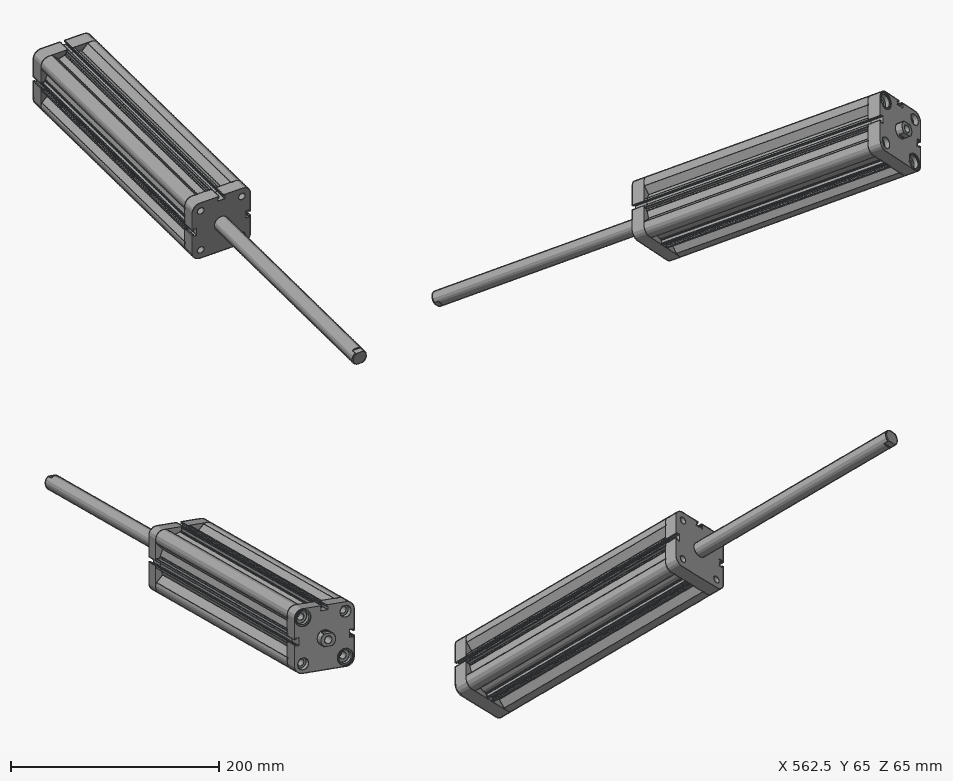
import cadquery as cq
import math

total_length = 562.5
rod_overhang = 8.0
left_cap_length = 14.5
right_cap_length = 14.0
housing_length = 296.5
profile_length = housing_length - left_cap_length - right_cap_length

rod_left_end = -total_length / 2
rod_right_end = total_length / 2
left_cap_start = rod_left_end + rod_overhang
profile_start = left_cap_start + left_cap_length
right_cap_start = profile_start + profile_length

section_width = 65.0
half_width = section_width / 2
corner_radius = 9.0
corner_center = half_width - corner_radius

slot_mouth_width = 5.0
slot_inner_width = 8.0
slot_lip_thickness = 1.5
slot_depth = 5.0

barrel_radius = 28.0
lobe_edge = 19.5
lobe_edge_height = corner_center + math.sqrt(corner_radius**2 - (corner_center - lobe_edge) ** 2)
valley_edge = 13.0
valley_height = math.sqrt(barrel_radius**2 - valley_edge**2)
rail_foot_width = 12.5
rail_foot_height = barrel_radius
rail_neck_width = 9.0

hole_offset = 23.0
hole_diameter = 7.5
bore_diameter = 12.0
bore_depth = 5.5
large_bore_diameter = 13.5
recess_diameter = 17.0
recess_depth = 1.0

rod_diameter = 16.0
rod_radius = rod_diameter / 2
rod_chamfer_length = 1.0
rod_chamfer_depth = 0.5
across_flats = 13.0
left_flat_length = 5.5
right_flat_length = 6.0
rod_hole_diameter = 8.0
rod_hole_depth = 17.0
drill_point_angle = 118.0


def x_cylinder(diameter, start, length, y=0.0, z=0.0):
    """Cylinder along X that begins at the given start."""
    return cq.Workplane("YZ", origin=(start, y, z)).circle(diameter / 2).extrude(length)


def turned(body, quarter_turns):
    """Copy of a body turned about the X axis."""
    return body.rotate((0, 0, 0), (1, 0, 0), 90 * quarter_turns)


def rounded_block(start, length):
    """Square block with rounded long edges."""
    block = cq.Workplane("YZ", origin=(start, 0, 0)).rect(section_width, section_width).extrude(length)
    return block.edges("|X").fillet(corner_radius)


def t_slot(start, length):
    """Cutter for the T-slot in the top (+Z) side."""
    mouth = slot_mouth_width / 2
    inner = slot_inner_width / 2
    lip = half_width - slot_lip_thickness
    floor = half_width - slot_depth
    points = [
        (-mouth, half_width),
        (-mouth, lip),
        (-inner, lip),
        (-inner, floor),
        (inner, floor),
        (inner, lip),
        (mouth, lip),
        (mouth, half_width),
    ]
    return cq.Workplane("YZ", origin=(start, 0, 0)).polyline(points).close().extrude(length)


def hole_centers():
    return [(y * hole_offset, z * hole_offset) for y in (-1, 1) for z in (-1, 1)]


def cut_through_holes(body, start, length):
    """Cut the four corner holes and the rod hole right through a body."""
    for y, z in hole_centers():
        body = body.cut(x_cylinder(hole_diameter, start, length, y, z))
    return body.cut(x_cylinder(rod_diameter, start, length))


def make_cap(start, length):
    """Rounded square plate with T-slots on all sides but the bottom."""
    cap = rounded_block(start, length)
    for quarter_turns in (-1, 0, 1):
        cap = cap.cut(turned(t_slot(start, length), quarter_turns))
    return cut_through_holes(cap, start, length)


def make_left_cap():
    """Cap with a bore at each outer hole mouth; two opposite ones are larger and recessed."""
    cap = make_cap(left_cap_start, left_cap_length)
    for y, z in hole_centers():
        on_rising_diagonal = y * z > 0
        diameter = large_bore_diameter if on_rising_diagonal else bore_diameter
        cap = cap.cut(x_cylinder(diameter, left_cap_start, bore_depth, y, z))
        if on_rising_diagonal:
            cap = cap.cut(x_cylinder(recess_diameter, left_cap_start, recess_depth, y, z))
    return cap


def make_lobe():
    """Corner lobe: a rounded nose with sloped flanks that run down to the barrel."""
    nose_tip = corner_center + corner_radius / math.sqrt(2)
    return (
        cq.Workplane("YZ", origin=(profile_start, 0, 0))
        .lineTo(valley_edge, valley_height)
        .lineTo(lobe_edge, lobe_edge_height)
        .threePointArc((nose_tip, nose_tip), (lobe_edge_height, lobe_edge))
        .lineTo(valley_height, valley_edge)
        .close()
        .extrude(profile_length)
    )


def upright_bar(width, height):
    """Bar along the profile that stands on the rod axis and reaches up to the given height."""
    return (
        cq.Workplane("YZ", origin=(profile_start, 0, 0))
        .center(0, height / 2)
        .rect(width, height)
        .extrude(profile_length)
    )


def make_rail():
    """Rail that carries the top T-slot: a narrow neck on a wider foot."""
    foot = upright_bar(rail_foot_width, rail_foot_height)
    neck = upright_bar(rail_neck_width, half_width)
    return foot.union(neck)


def make_profile():
    """Barrel with four lobes and four slotted rails."""
    body = x_cylinder(2 * barrel_radius, profile_start, profile_length)
    lobe = make_lobe()
    rail = make_rail()
    slot = t_slot(profile_start, profile_length)
    for quarter_turns in range(4):
        body = body.union(turned(lobe, quarter_turns)).union(turned(rail, quarter_turns))
    for quarter_turns in range(4):
        body = body.cut(turned(slot, quarter_turns))
    return cut_through_holes(body, profile_start, profile_length)


def flat_cutter(start, length, side):
    """Block that cuts one flat on the upper (+1) or lower (-1) side of the rod."""
    depth = rod_radius - across_flats / 2
    center = (start + length / 2, 0, side * (rod_radius - depth / 2))
    return cq.Workplane("XY", origin=center).box(length, rod_diameter, depth)


def rod_hole():
    """Cutter for the drilled hole with its conical end."""
    radius = rod_hole_diameter / 2
    point_length = radius / math.tan(math.radians(drill_point_angle / 2))
    return (
        cq.Workplane("XZ")
        .moveTo(rod_left_end, 0)
        .lineTo(rod_left_end, radius)
        .lineTo(rod_left_end + rod_hole_depth, radius)
        .lineTo(rod_left_end + rod_hole_depth + point_length, 0)
        .close()
        .revolve(360, (0, 0, 0), (1, 0, 0))
    )


def make_rod():
    """Through rod with wrench flats at both ends and a drilled hole in the left end."""
    rod = (
        cq.Workplane("XZ")
        .moveTo(rod_left_end, 0)
        .lineTo(rod_left_end, rod_radius)
        .lineTo(rod_right_end - rod_chamfer_length, rod_radius)
        .lineTo(rod_right_end, rod_radius - rod_chamfer_depth)
        .lineTo(rod_right_end, 0)
        .close()
        .revolve(360, (0, 0, 0), (1, 0, 0))
    )
    for side in (-1, 1):
        rod = rod.cut(flat_cutter(rod_left_end, left_flat_length, side))
        rod = rod.cut(flat_cutter(rod_right_end - right_flat_length, right_flat_length, side))
    return rod.cut(rod_hole())


left_cap = make_left_cap()
profile = make_profile()
right_cap = make_cap(right_cap_start, right_cap_length)
piston_rod = make_rod()

result = cq.Compound.makeCompound([left_cap.val(), profile.val(), right_cap.val(), piston_rod.val()])